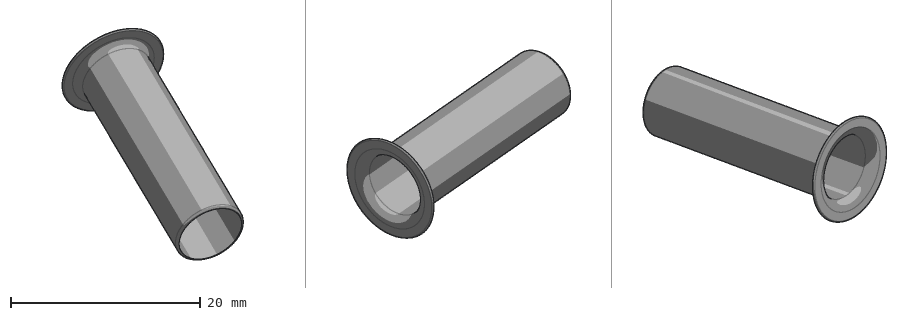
import cadquery as cq
import math

length = 26.0
flange_diameter = 11.7
tube_diameter = 7.8
bore_diameter = 7.2
flare_inner_radius = 0.8
tip_round = 0.29

flange_radius = flange_diameter / 2
tube_radius = tube_diameter / 2
bore_radius = bore_diameter / 2
wall = tube_radius - bore_radius
rim_round = wall / 2
flare_outer_radius = flare_inner_radius + wall
flare_end = flare_outer_radius
flare_rim = tube_radius + flare_inner_radius
diagonal = math.sqrt(0.5)


def bend_middle(bend_radius):
    """Midpoint of a quarter bend about the common flare centre."""
    return (flare_end - bend_radius * diagonal, flare_rim - bend_radius * diagonal)


def tip_middle():
    """Midpoint of the quarter round at the plain end."""
    inset = tip_round * (1 - diagonal)
    return (length - inset, tube_radius - inset)


def rim_middle(x, direction):
    """Midpoint of a rim round starting from the flange face at x."""
    inset = rim_round * (1 - diagonal)
    return (x + direction * inset, flange_radius - inset)


profile = (
    cq.Workplane("XY")
    .moveTo(length, bore_radius)
    .lineTo(flare_end, bore_radius)
    .threePointArc(bend_middle(flare_outer_radius), (0, flare_rim))
    .lineTo(0, flange_radius - rim_round)
    .threePointArc(rim_middle(0, 1), (rim_round, flange_radius))
    .threePointArc(rim_middle(wall, -1), (wall, flange_radius - rim_round))
    .lineTo(wall, flare_rim)
    .threePointArc(bend_middle(flare_inner_radius), (flare_end, tube_radius))
    .lineTo(length - tip_round, tube_radius)
    .threePointArc(tip_middle(), (length, tube_radius - tip_round))
    .close()
)

result = profile.revolve(360, (0, 0, 0), (1, 0, 0))